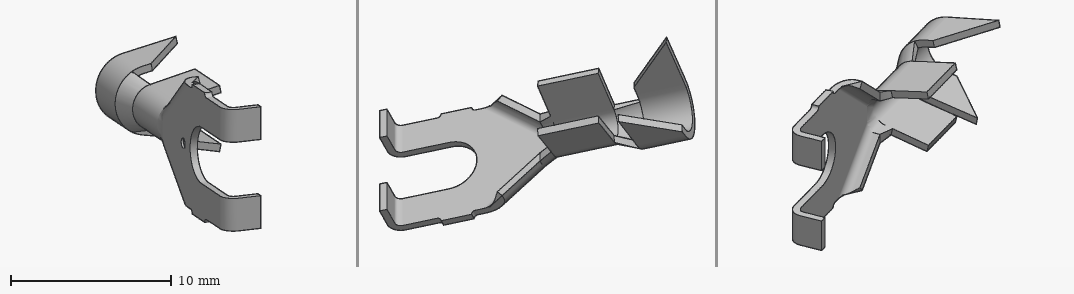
import cadquery as cq
import math

SHEET = 0.5

INSULATION_END = 3.17
WIRE_START = 4.72
WIRE_END = 8.73
FORK_START = 9.58
LENGTH = 19.84

INSULATION_RADIUS = 2.28
INSULATION_SWEEP = 79.0
INSULATION_BOTTOM = -0.54
INSULATION_TOP = 5.0
SHORT_WING_LENGTH = 0.6

WIRE_RADIUS = 1.53
WIRE_SWEEP = 77.5
WIRE_BOTTOM = 0.0
WIRE_TOP = 4.33

REAR_NECK_SWEEP = 60.0
FRONT_NECK_TOP = 1.83
FRONT_NECK_FLOOR = 0.77

OVERALL_WIDTH = 8.43
TAB_RISE = 0.25
FORK_HALF_WIDTH = OVERALL_WIDTH / 2 - TAB_RISE
SLOPE = math.radians(40.0)
FLOOR_HALF_WIDTH = 0.54
CURL_RADIUS = 1.01
FLANGE_TOP = 1.37
FLOOR_END = FORK_START + (FORK_HALF_WIDTH - FLOOR_HALF_WIDTH) / math.tan(SLOPE)
FLANGE_TAPER_LENGTH = 1.13
SLOT_RADIUS = 1.83
SLOT_BOTTOM = 14.07
TAB_START = 14.4
TAB_END = 16.43
DIMPLE_X = 12.94
DIMPLE_RADIUS = 0.32
DIMPLE_DEPTH = 0.15

BEND_RADIUS = 0.9
END_TOP = 2.38


def section_plane(x):
    """Cross-section plane at x: its local axes are Z and Y, and it faces -X."""
    return cq.Workplane(cq.Plane(origin=(x, 0, 0), xDir=(0, 0, 1), normal=(-1, 0, 0)))


def on_circle(radius, center_y, angle):
    """Point (z, y) on a barrel circle, with the angle in degrees from its bottom."""
    turn = math.radians(angle)
    return (radius * math.sin(turn), center_y - radius * math.cos(turn))


def add_arcs(outline, radius, center_y, stops):
    """Continue an outline along a barrel circle, with one arc between each pair of stops."""
    for start, end in zip(stops, stops[1:]):
        middle = on_circle(radius, center_y, (start + end) / 2)
        outline = outline.threePointArc(middle, on_circle(radius, center_y, end))
    return outline


def trough(x, radius, bottom, stops, wing_length=0.0):
    """Outline of a trough: a ring sector through the stop angles, edged by straight wings."""
    center_y = bottom + radius
    inner_radius = radius - SHEET
    sweep = stops[-1]
    outer_z, outer_y = on_circle(radius, center_y, sweep)
    inner_z, inner_y = on_circle(inner_radius, center_y, sweep)
    spread = wing_length * math.cos(math.radians(sweep))
    rise = wing_length * math.sin(math.radians(sweep))

    outline = add_arcs(section_plane(x).moveTo(-outer_z, outer_y), radius, center_y, stops)
    if wing_length > 0:
        outline = outline.lineTo(outer_z + spread, outer_y + rise).lineTo(inner_z + spread, inner_y + rise)
    outline = add_arcs(outline.lineTo(inner_z, inner_y), inner_radius, center_y, stops[::-1])
    if wing_length > 0:
        outline = outline.lineTo(-inner_z - spread, inner_y + rise).lineTo(-outer_z - spread, outer_y + rise)
    return outline.close()


def wing_length_to(top, radius, bottom, sweep):
    """Length of the straight wing whose inner corner ends at Y = top."""
    inner_root_y = on_circle(radius - SHEET, bottom + radius, sweep)[1]
    return (top - inner_root_y) / math.sin(math.radians(sweep))


def neck(start, end):
    """Neck of straight rulings between two section outlines."""
    return cq.Workplane(cq.Solid.makeLoft([start.val(), end.val()], True))


def insulation_barrel():
    stops = [-INSULATION_SWEEP, INSULATION_SWEEP]
    length = wing_length_to(INSULATION_TOP, INSULATION_RADIUS, INSULATION_BOTTOM, INSULATION_SWEEP)
    barrel = trough(0, INSULATION_RADIUS, INSULATION_BOTTOM, stops, length).extrude(-INSULATION_END)

    root_z, root_y = on_circle(INSULATION_RADIUS, INSULATION_BOTTOM + INSULATION_RADIUS, INSULATION_SWEEP)
    turn = math.radians(INSULATION_SWEEP)
    wing_plane = cq.Plane(
        origin=(0, root_y, root_z), xDir=(1, 0, 0), normal=(0, -math.cos(turn), math.sin(turn))
    )
    offcut = (
        cq.Workplane(wing_plane)
        .polyline([(0, length), (INSULATION_END, SHORT_WING_LENGTH), (INSULATION_END, length)])
        .close()
        .extrude(2 * SHEET, both=True)
    )
    opposite_offcut = offcut.mirror("XY").mirror("YZ", (INSULATION_END / 2, 0, 0))
    return barrel.cut(offcut).cut(opposite_offcut)


def rear_neck():
    rear_stops = [-REAR_NECK_SWEEP, REAR_NECK_SWEEP]
    return neck(
        trough(INSULATION_END, INSULATION_RADIUS, INSULATION_BOTTOM, rear_stops),
        trough(WIRE_START, WIRE_RADIUS, WIRE_BOTTOM, [-WIRE_SWEEP, WIRE_SWEEP]),
    )


def wire_barrel():
    length = wing_length_to(WIRE_TOP, WIRE_RADIUS, WIRE_BOTTOM, WIRE_SWEEP)
    outline = trough(WIRE_START, WIRE_RADIUS, WIRE_BOTTOM, [-WIRE_SWEEP, WIRE_SWEEP], length)
    return outline.extrude(WIRE_START - WIRE_END)


def front_neck(root):
    """Neck from the wire barrel to the end section of the fork root."""
    split = math.degrees(math.asin(FRONT_NECK_FLOOR / WIRE_RADIUS))
    length = wing_length_to(FRONT_NECK_TOP, WIRE_RADIUS, WIRE_BOTTOM, WIRE_SWEEP)
    stops = [-WIRE_SWEEP, -split, split, WIRE_SWEEP]
    return neck(
        trough(WIRE_END, WIRE_RADIUS, WIRE_BOTTOM, stops, length),
        root.faces("<X").wires(),
    )


def fork_floor():
    """Flat floor of the fork root, widening along X."""
    corners = [(FORK_START, FLOOR_HALF_WIDTH), (FLOOR_END, FORK_HALF_WIDTH)]
    opposite_corners = [(x, -z) for x, z in reversed(corners)]
    return cq.Workplane("XZ").polyline(corners + opposite_corners).close().extrude(-SHEET)


def curled_flange():
    """Flange curled up along the sloping edge of the floor and trimmed to the fork's width."""
    profile_plane = cq.Plane(
        origin=(FORK_START, 0, FLOOR_HALF_WIDTH),
        xDir=(-math.sin(SLOPE), 0, math.cos(SLOPE)),
        normal=(-math.cos(SLOPE), 0, -math.sin(SLOPE)),
    )
    inner_radius = CURL_RADIUS - SHEET
    strip = (
        cq.Workplane(profile_plane)
        .moveTo(0, 0)
        .radiusArc((CURL_RADIUS, CURL_RADIUS), -CURL_RADIUS)
        .lineTo(CURL_RADIUS, FLANGE_TOP)
        .lineTo(inner_radius, FLANGE_TOP)
        .lineTo(inner_radius, CURL_RADIUS)
        .radiusArc((0, SHEET), inner_radius)
        .close()
        .extrude(LENGTH, both=True)
    )
    envelope = cq.Workplane("XY", origin=(FORK_START, 0, 0)).box(
        LENGTH - FORK_START, FLANGE_TOP, FORK_HALF_WIDTH, centered=False
    )
    return strip.intersect(envelope).cut(flange_corner())


def flange_corner():
    """Tapering offcut that leaves the top of the flange's end square to its sheet."""
    outer_x = FLOOR_END - CURL_RADIUS / math.sin(SLOPE)
    square_x = outer_x + SHEET * math.sin(SLOPE)
    square_z = FORK_HALF_WIDTH - SHEET * math.cos(SLOPE)
    inner_x = outer_x + SHEET / math.sin(SLOPE)
    corners = [(outer_x, FORK_HALF_WIDTH), (square_x, square_z), (inner_x, FORK_HALF_WIDTH)]
    base = [cq.Vector(x, FLANGE_TOP, z) for x, z in corners]
    apex = cq.Vector(outer_x + FLANGE_TAPER_LENGTH, SHEET, FORK_HALF_WIDTH)

    triangles = [base]
    for i in range(3):
        triangles.append([base[i - 1], base[i], apex])
    faces = [cq.Face.makeFromWires(cq.Wire.makePolygon(points, close=True)) for points in triangles]
    return cq.Workplane(cq.Solid.makeSolid(cq.Shell.makeShell(faces)))


def fork_arms():
    """Flat fork with its upturned end, before the slot is cut."""
    inner_bend = BEND_RADIUS - SHEET
    bend_start = LENGTH - BEND_RADIUS
    return (
        cq.Workplane("XY")
        .moveTo(FLOOR_END, 0)
        .lineTo(bend_start, 0)
        .radiusArc((LENGTH, BEND_RADIUS), -BEND_RADIUS)
        .lineTo(LENGTH, END_TOP)
        .lineTo(LENGTH - SHEET, END_TOP)
        .lineTo(LENGTH - SHEET, BEND_RADIUS)
        .radiusArc((bend_start, SHEET), inner_bend)
        .lineTo(FLOOR_END, SHEET)
        .close()
        .extrude(FORK_HALF_WIDTH, both=True)
    )


def side_tab():
    """Tab on the side of the fork, with concave rounded roots."""
    tip = FORK_HALF_WIDTH + TAB_RISE
    return (
        cq.Workplane("XZ")
        .moveTo(TAB_START, FORK_HALF_WIDTH - TAB_RISE)
        .lineTo(TAB_START - TAB_RISE, FORK_HALF_WIDTH - TAB_RISE)
        .lineTo(TAB_START - TAB_RISE, FORK_HALF_WIDTH)
        .radiusArc((TAB_START, tip), -TAB_RISE)
        .lineTo(TAB_END, tip)
        .radiusArc((TAB_END + TAB_RISE, FORK_HALF_WIDTH), -TAB_RISE)
        .lineTo(TAB_END + TAB_RISE, FORK_HALF_WIDTH - TAB_RISE)
        .close()
        .extrude(-SHEET)
    )


def fork_slot():
    """Round-bottomed slot, open at the far end of the fork."""
    center_x = SLOT_BOTTOM + SLOT_RADIUS
    return (
        cq.Workplane("XZ")
        .moveTo(LENGTH, SLOT_RADIUS)
        .lineTo(center_x, SLOT_RADIUS)
        .threePointArc((SLOT_BOTTOM, 0), (center_x, -SLOT_RADIUS))
        .lineTo(LENGTH, -SLOT_RADIUS)
        .close()
        .extrude(-END_TOP)
    )


def dimple():
    """Shallow round recess in the outer face of the fork."""
    return cq.Workplane("XZ").center(DIMPLE_X, 0).circle(DIMPLE_RADIUS).extrude(-DIMPLE_DEPTH)


flange = curled_flange()
root = fork_floor().union(flange).union(flange.mirror("XY"))
tab = side_tab()
fork = root.union(fork_arms()).union(tab).union(tab.mirror("XY")).cut(fork_slot()).cut(dimple())

crimp = insulation_barrel().union(rear_neck()).union(wire_barrel())
result = crimp.union(front_neck(root)).union(fork).clean()